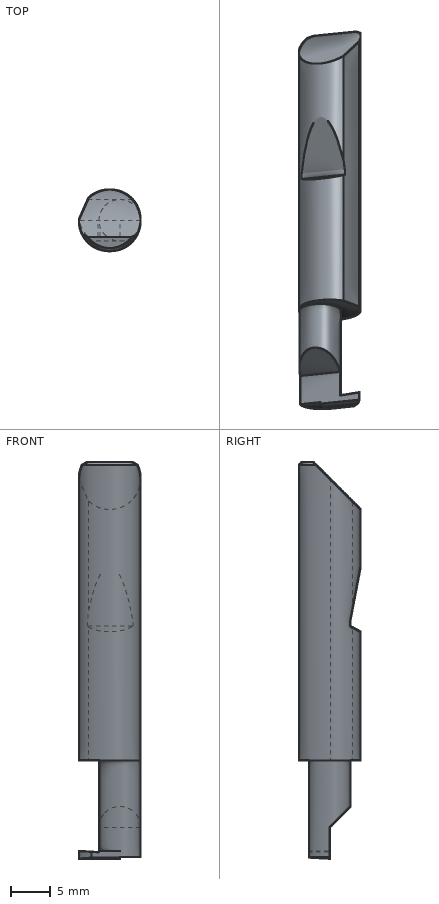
import cadquery as cq
import math

total_length = 50.8
shank_radius = 3.95
shank_bottom = 12.6
top_chamfer = 0.4
bevel_start_y = -2.15
cutter_reach = shank_radius + 0.5

flat_distance = 3.65
flat_angle = 24

notch_depth = 1.3
notch_top = 37.4
notch_root_top = 30.5
notch_root_bottom = 29.75
notch_bottom = 29.05

neck_diameter = 5.35
neck_radius = neck_diameter / 2
neck_x = shank_radius - neck_radius
neck_bottom = 0.2
relief_top = 6.7

head_top = 1
head_corner_x = -2.35
tip_x = -shank_radius
underside_front_z = 0.15
nose_bulge = 0.2
rake_drop = 0.15
rake_end_x = -1.45
ramp_end_x = -1.25


def prism_along_x(points):
    """Extrude a (Y, Z) outline across the full width of the shank."""
    return cq.Workplane("YZ").polyline(points).close().extrude(cutter_reach, both=True)


def make_shank():
    shank = cq.Workplane("XY").workplane(offset=shank_bottom)
    shank = shank.circle(shank_radius).extrude(total_length - shank_bottom)
    shank = shank.faces(">Z").chamfer(top_chamfer)

    bevel_run = cutter_reach - bevel_start_y
    bevel = prism_along_x([
        (bevel_start_y, total_length),
        (bevel_start_y + bevel_run, total_length),
        (bevel_start_y + bevel_run, total_length - bevel_run),
    ])

    root_y = shank_radius - notch_depth
    notch = prism_along_x([
        (shank_radius, notch_top),
        (root_y, notch_root_top),
        (root_y, notch_root_bottom),
        (shank_radius, notch_bottom),
    ])

    flat = (
        cq.Workplane("XY")
        .box(shank_radius, 2 * shank_radius, total_length, centered=(False, True, False))
        .translate((flat_distance, 0, 0))
        .rotate((0, 0, 0), (0, 0, 1), 180 - flat_angle)
    )
    return shank.cut(bevel).cut(notch).cut(flat)


def make_neck():
    neck = cq.Workplane("XY").workplane(offset=neck_bottom).center(neck_x, 0)
    neck = neck.circle(neck_radius).extrude(shank_bottom - neck_bottom)

    relief = prism_along_x([
        (0, 0),
        (0, relief_top - neck_radius),
        (neck_radius, relief_top),
        (neck_radius, 0),
    ])
    return neck.cut(relief)


def make_head():
    nose_run = head_corner_x - tip_x
    nose_chord = math.hypot(nose_run, neck_radius)
    nose_middle = (
        (tip_x + head_corner_x) / 2 - nose_bulge * neck_radius / nose_chord,
        -neck_radius / 2 - nose_bulge * nose_run / nose_chord,
    )
    head = (
        cq.Workplane("XY")
        .moveTo(tip_x, 0)
        .threePointArc(nose_middle, (head_corner_x, -neck_radius))
        .lineTo(neck_x, -neck_radius)
        .lineTo(neck_x, 0)
        .close()
        .extrude(head_top)
    )
    underside = prism_along_x([
        (0, 0),
        (-neck_radius, underside_front_z),
        (-neck_radius, 0),
    ])
    rake = (
        cq.Workplane("XZ")
        .polyline([
            (tip_x, head_top),
            (rake_end_x, head_top - rake_drop),
            (ramp_end_x, head_top),
        ])
        .close()
        .extrude(neck_radius)
    )
    return head.cut(underside).cut(rake)


result = make_shank().union(make_neck()).union(make_head())